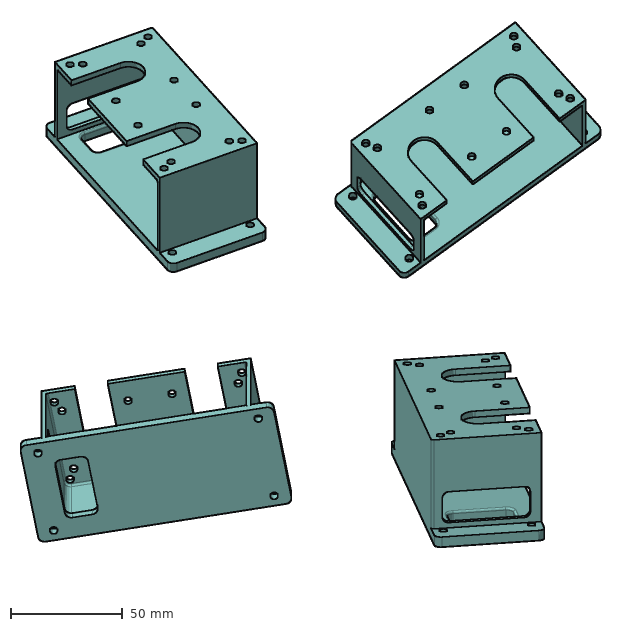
import cadquery as cq

length = 115
depth = 50.0
height = 48.0
base_thickness = 5.0
base_corner_radius = 3.0

housing_length = 95.0
side_wall = 2.0
back_wall = 2.0
roof_thickness = 3.0
back_left_edge_radius = 1.0
cavity_corner_radius = 3.0
cavity_top_radius = 1.0

hole_diameter = 3.5
base_hole_x = 50.0
outer_hole_x = 42.5
outer_hole_y = 20.0
grid_hole_y = 15
grid_hole_x_outer = 40.0
grid_hole_x_inner = 10.0

slot_width = 15
slot_x = 25.0

floor_window_length = 15
floor_window_depth = 29.9
floor_window_gap = 2.0
floor_window_corner_radius = 3.0
floor_window_edge_radius = 1.0

side_window_depth = 40.0
side_window_height = 15
side_window_bottom = 7.5
side_window_corner_radius = 3.0

housing_height = height - base_thickness
cavity_length = housing_length - 2 * side_wall
cavity_height = housing_height - roof_thickness
cavity_depth = depth - back_wall
cavity_left = -cavity_length / 2


def make_block(size_x, size_y, size_z, bottom):
    """Block centred on X and Y, standing on the given height."""
    block = cq.Workplane("XY").workplane(offset=bottom)
    return block.rect(size_x, size_y).extrude(size_z)


def make_base():
    """Base plate with its floor window, whose upper rim is rounded."""
    plate = make_block(length, depth, base_thickness, 0).edges("|Z").fillet(base_corner_radius)
    window_x = cavity_left + floor_window_gap + floor_window_length / 2
    window = make_block(floor_window_length, floor_window_depth, base_thickness, 0)
    window = window.edges("|Z").fillet(floor_window_corner_radius).translate((window_x, 0, 0))
    plate = plate.cut(window)
    rim = plate.faces(">Z").val().innerWires()[0].Edges()
    return plate.newObject(rim).fillet(floor_window_edge_radius)


def make_housing():
    """Housing with rounded cavity corners, open at the front."""
    shell = make_block(housing_length, depth, housing_height, base_thickness)
    shell = shell.edges("|Z and <X and >Y").fillet(back_left_edge_radius)
    cavity = make_block(cavity_length, cavity_depth, cavity_height, base_thickness)
    cavity = cavity.edges("|Z and >Y").fillet(cavity_corner_radius)
    cavity = cavity.faces(">Z").edges("not <Y").fillet(cavity_top_radius)
    return shell.cut(cavity.translate((0, -back_wall / 2, 0)))


def make_roof_slots():
    """Two slots with round ends at mid-depth, running out through the front."""
    slots = cq.Workplane("XY").workplane(offset=height - roof_thickness)
    for x in (-slot_x, slot_x):
        slots = (
            slots.moveTo(x - slot_width / 2, -depth / 2)
            .lineTo(x - slot_width / 2, 0)
            .threePointArc((x, slot_width / 2), (x + slot_width / 2, 0))
            .lineTo(x + slot_width / 2, -depth / 2)
            .close()
        )
    return slots.extrude(roof_thickness)


def make_side_window():
    """Rounded window through the left wall."""
    window = make_block(side_wall, side_window_depth, side_window_height, side_window_bottom)
    window = window.edges("|X").fillet(side_window_corner_radius)
    return window.translate((cavity_left - side_wall / 2, 0, 0))


def make_holes(hole_x, hole_y, bottom, thickness):
    """Four through holes mirrored about both middle planes."""
    holes = cq.Workplane("XY").workplane(offset=bottom)
    holes = holes.rect(2 * hole_x, 2 * hole_y, forConstruction=True).vertices()
    return holes.circle(hole_diameter / 2).extrude(thickness)


result = make_base().union(make_housing())
result = result.cut(make_roof_slots()).cut(make_side_window())
result = result.cut(make_holes(base_hole_x, outer_hole_y, 0, base_thickness))

roof_holes = [
    (outer_hole_x, outer_hole_y),
    (grid_hole_x_outer, grid_hole_y),
    (grid_hole_x_inner, grid_hole_y),
]
for roof_hole_x, roof_hole_y in roof_holes:
    result = result.cut(make_holes(roof_hole_x, roof_hole_y, height - roof_thickness, roof_thickness))